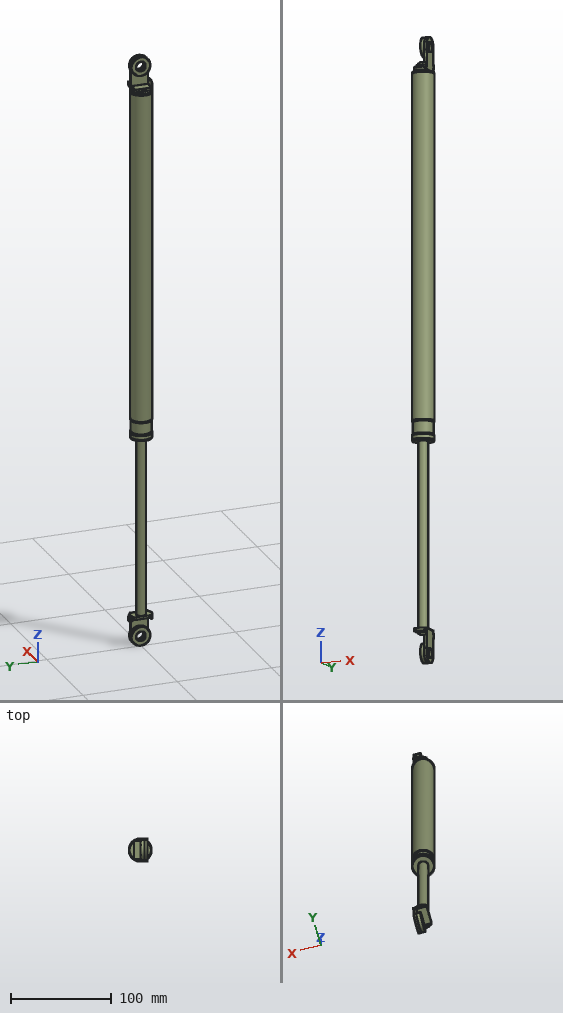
import cadquery as cq

total_length = 630.0
bracket_length = 34.0
tube_bottom = 223.5
stud_height = 1.0
tube_top = total_length - bracket_length - stud_height

tube_diameter = 22.5
tube_radius = tube_diameter / 2
tube_rim_inset = 0.6
tube_rim_height = 1.5
rod_diameter = 10.0
rod_radius = rod_diameter / 2

recess_bottom_offset = 5.5
recess_top_offset = 20.7
recess_depth = 0.6
recess_slope = 1.6

eye_radius = 10.0
eye_hole_diameter = 10.0
bushing_length = 4.0

sheet_thickness = 2.8
plate_outer_x = 7.2
plate_inner_x = plate_outer_x - sheet_thickness
neck_width = 18.5
flange_edge_x = -6.0

wing_fold_y = 9.0
wing_rise = 4.5
wing_tip_z = 24.0
wing_start_x = -4.5

flange_z = bracket_length - sheet_thickness


def make_tube():
    """Closed cylinder with chamfered rims, a recess with sloping shoulders and a short stud on top."""
    recess_radius = tube_radius - recess_depth
    recess_bottom = tube_bottom + recess_bottom_offset
    recess_top = tube_bottom + recess_top_offset
    rim_radius = tube_radius - tube_rim_inset
    return (
        cq.Workplane("XZ")
        .moveTo(0, tube_bottom)
        .lineTo(rim_radius, tube_bottom)
        .lineTo(tube_radius, tube_bottom + tube_rim_height)
        .lineTo(tube_radius, recess_bottom)
        .lineTo(recess_radius, recess_bottom + recess_slope)
        .lineTo(recess_radius, recess_top - recess_slope)
        .lineTo(tube_radius, recess_top)
        .lineTo(tube_radius, tube_top - tube_rim_height)
        .lineTo(rim_radius, tube_top)
        .lineTo(rod_radius, tube_top)
        .lineTo(rod_radius, tube_top + stud_height)
        .lineTo(0, tube_top + stud_height)
        .close()
        .revolve(360, (0, 0, 0), (0, 1, 0))
    )


def make_rod():
    """Plain round rod between the lower bracket and the tube."""
    return (
        cq.Workplane("XY", origin=(0, 0, bracket_length))
        .circle(rod_radius)
        .extrude(tube_bottom - bracket_length)
    )


def make_eye_plate():
    """Upright plate: a round eye on a straight neck that reaches the flange."""
    workplane = cq.Workplane("YZ", origin=(plate_inner_x, 0, 0))
    eye = workplane.center(0, eye_radius).circle(eye_radius).extrude(sheet_thickness)
    half_neck = neck_width / 2
    neck = (
        workplane.moveTo(-half_neck, eye_radius)
        .lineTo(half_neck, eye_radius)
        .lineTo(half_neck, bracket_length)
        .lineTo(-half_neck, bracket_length)
        .close()
        .extrude(sheet_thickness)
    )
    return eye.union(neck)


def make_flange():
    """Flat flange across the rod, rounded like the tube."""
    disc = cq.Workplane("XY", origin=(0, 0, flange_z)).circle(tube_radius).extrude(sheet_thickness)
    strip = (
        cq.Workplane("XY", origin=(flange_edge_x, 0, flange_z))
        .rect(plate_outer_x - flange_edge_x, tube_diameter, centered=(False, True))
        .extrude(sheet_thickness)
    )
    return disc.intersect(strip)


def make_wing():
    """Wing on the +Y side, its free edge sloping from the flange up to the plate."""
    folded_strip = (
        cq.Workplane("YZ", origin=(wing_start_x, 0, 0))
        .polyline([
            (wing_fold_y, bracket_length),
            (wing_fold_y, flange_z),
            (tube_radius, flange_z - wing_rise),
            (tube_radius, bracket_length - wing_rise),
        ])
        .close()
        .extrude(plate_outer_x - wing_start_x)
    )
    side_outline = (
        cq.Workplane("XZ")
        .polyline([
            (wing_start_x, bracket_length),
            (wing_start_x, flange_z),
            (plate_inner_x, wing_tip_z),
            (plate_outer_x, wing_tip_z),
            (plate_outer_x, bracket_length),
        ])
        .close()
        .extrude(tube_diameter, both=True)
    )
    return folded_strip.intersect(side_outline)


def make_lower_bracket():
    """Angle bracket at the lower end of the rod."""
    wing = make_wing()
    body = make_eye_plate().union(make_flange()).union(wing).union(wing.mirror("XZ"))
    hole = (
        cq.Workplane("YZ", origin=(plate_inner_x, 0, 0))
        .center(0, eye_radius)
        .circle(eye_hole_diameter / 2)
        .extrude(sheet_thickness)
    )
    return body.cut(hole)


def make_lower_bushing():
    """Ring standing on the inner side of the lower eye."""
    return (
        cq.Workplane("YZ", origin=(plate_inner_x - bushing_length, 0, 0))
        .center(0, eye_radius)
        .circle(eye_radius)
        .circle(eye_hole_diameter / 2)
        .extrude(bushing_length)
    )


def with_upper_copy(lower_part):
    """The lower part and its mirror image at the upper end."""
    upper_part = lower_part.mirror("XY", (0, 0, total_length / 2))
    return [lower_part.solids().val(), upper_part.solids().val()]


tube = make_tube()
rod = make_rod()
brackets = with_upper_copy(make_lower_bracket())
bushings = with_upper_copy(make_lower_bushing())

result = cq.Compound.makeCompound([tube.val(), rod.val(), *brackets, *bushings])